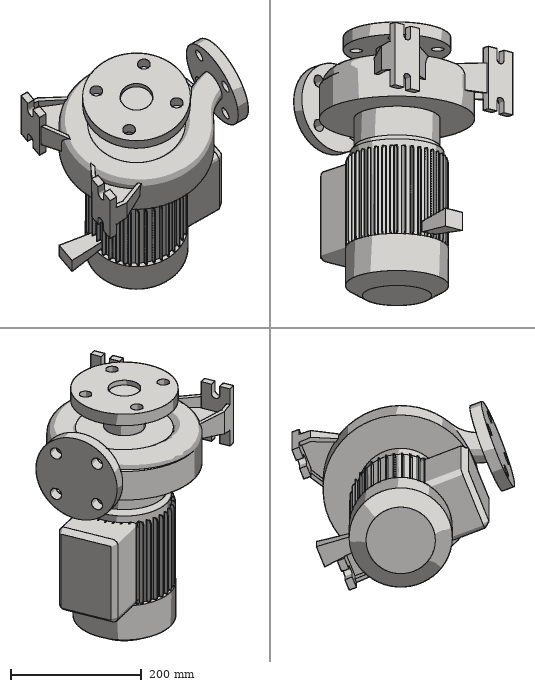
import cadquery as cq
import math


suction_face_z = 80.0
suction_flange_radius = 82.5
suction_flange_thickness = 20.0
suction_bolt_circle = 125.0
suction_pipe_radius = 32.0
suction_bore_radius = 25.0
suction_bore_depth = 8.5
bolt_hole_diameter = 19.0
bolt_count = 4
bolt_start_angle = 45.0

discharge_face_y = 160.0
discharge_flange_radius = 70.0
discharge_flange_thickness = 19.0
discharge_bolt_circle = 100.0

volute_tube_radius = 23.5
volute_ring_radius = 95.5
casing_radius = volute_ring_radius + volute_tube_radius
casing_bottom_z = -50.0
cover_radius = 75.0
cover_edge_z = math.sqrt(volute_tube_radius**2 - (volute_ring_radius - cover_radius) ** 2)
cover_rise = 3.0
cover_hub_z = cover_edge_z + cover_rise
spiral_start_angle = 180.0
spiral_section_count = 5
spiral_outer_shrink = 11.0

bend_radius = (discharge_face_y**2 - volute_ring_radius**2) / (2 * volute_ring_radius)
bend_angle = math.degrees(math.atan2(discharge_face_y, bend_radius))

lantern_radius = 66.0
lantern_bottom_z = -96.0
motor_core_radius = 72.0
motor_core_top_z = -104.0
fin_top_z = -115.0
cowl_top_z = -257.5
cowl_radius = 79.0
cowl_shoulder_z = -317.0
motor_end_radius = 53.0
motor_end_z = -333.0
fin_count = 40
fin_thickness = 1.5
fin_inner_end = 49.0
fin_tip_radius = 78.5
fin_bevel_width = 1.5
fin_bevel_height = 5.0

box_width = 101.5
box_inner_y = 40.0
box_outer_y = 128.5
box_top_z = -115.5
box_bottom_z = -260.0
box_fillet = 10.0
box_bevel_depth = 9.5
box_bevel_width = 7.5

foot_outer_x = 120.0
foot_width = 50.0
foot_height = 100.0
foot_thickness = 12.0
foot_face_y = -132.0
foot_back_y = foot_face_y + foot_thickness
slot_width = 14.0
slot_depth = 23.0
web_thickness = 6.0
web_bend_y = -101.0
outer_web_end = (96.5, -54.0)
inner_web_start = (75.0, -132.0)
inner_web_angle = 150.0
inner_web_length = 68.0
web_half_height_at_face = 24.5
web_taper = 0.16
gusset_thickness = 8.0

support_top_y = -70.0
support_mid_z = -241.0
support_end_width = 35.0
support_end_height = 29.0
support_root_width = 22.0
support_root_height = 17.0


def polar(radius, angle):
    """X and Y of a point at the given radius and angle in degrees."""
    return radius * math.cos(math.radians(angle)), radius * math.sin(math.radians(angle))


def turned(profile):
    """Solid turned about the shaft axis from (radius, z) points."""
    return cq.Workplane("XZ").polyline(profile).close().revolve(360, (0, 0, 0), (0, 1, 0))


def ring_section(angle, outer_radius):
    """Circle of the volute tube that reaches outer_radius and passes through the cover edge."""
    span = outer_radius - cover_radius
    tube_radius = (span**2 + cover_edge_z**2) / (2 * span)
    x, y = polar(outer_radius - tube_radius, angle)
    tangent_x, tangent_y = polar(1.0, angle + 90)
    return cq.Wire.makeCircle(tube_radius, cq.Vector(x, y, 0), cq.Vector(tangent_x, tangent_y, 0))


def make_body():
    """Casing drum, cover, suction pipe, lantern and motor, all turned about the shaft axis."""
    profile = [
        (0, suction_face_z),
        (suction_flange_radius, suction_face_z),
        (suction_flange_radius, suction_face_z - suction_flange_thickness),
        (suction_pipe_radius, suction_face_z - suction_flange_thickness),
        (suction_pipe_radius, cover_hub_z),
        (cover_radius, cover_edge_z),
        (cover_radius, 0),
        (casing_radius, 0),
        (casing_radius, casing_bottom_z),
        (lantern_radius, casing_bottom_z),
        (lantern_radius, lantern_bottom_z),
        (motor_core_radius, motor_core_top_z),
        (motor_core_radius, cowl_top_z),
        (cowl_radius, cowl_top_z),
        (cowl_radius, cowl_shoulder_z),
        (motor_end_radius, motor_end_z),
        (0, motor_end_z),
    ]
    return turned(profile)


def make_volute():
    """Tube ring of constant section that continues into the discharge bend."""
    sweep_angle = 360 - spiral_start_angle + bend_angle
    ring = (
        cq.Workplane("XZ")
        .center(volute_ring_radius, 0)
        .circle(volute_tube_radius)
        .revolve(sweep_angle, (-volute_ring_radius, 0, 0), (-volute_ring_radius, 1, 0))
        .rotate((0, 0, 0), (0, 0, 1), spiral_start_angle)
    )
    bend = (
        cq.Workplane("XZ", origin=(0, discharge_face_y, 0))
        .circle(volute_tube_radius)
        .revolve(bend_angle, (bend_radius, 0, 0), (bend_radius, 1, 0))
    )
    return ring.union(bend)


def make_spiral():
    """Tapering start of the volute, from the discharge bend round to the constant ring."""
    sections = []
    for index in range(spiral_section_count):
        share = index / (spiral_section_count - 1)
        angle = spiral_start_angle + share * (bend_angle - spiral_start_angle)
        sections.append(ring_section(angle, casing_radius - share * spiral_outer_shrink))
    return cq.Workplane(cq.Solid.makeLoft(sections))


def make_discharge_flange():
    face = cq.Workplane("XZ", origin=(0, discharge_face_y, 0))
    bolts = (
        face.polarArray(discharge_bolt_circle / 2, bolt_start_angle, 360, bolt_count)
        .circle(bolt_hole_diameter / 2)
        .extrude(discharge_flange_thickness)
    )
    return face.circle(discharge_flange_radius).extrude(discharge_flange_thickness).cut(bolts)


def make_suction_holes():
    """Bolt holes through the suction flange and the recess in its face."""
    bolts = (
        cq.Workplane("XY", origin=(0, 0, suction_face_z))
        .polarArray(suction_bolt_circle / 2, bolt_start_angle, 360, bolt_count)
        .circle(bolt_hole_diameter / 2)
        .extrude(-suction_flange_thickness)
    )
    bore = (
        cq.Workplane("XY", origin=(0, 0, suction_face_z))
        .circle(suction_bore_radius)
        .extrude(-suction_bore_depth)
    )
    return bolts.union(bore)


def make_fins():
    """Cooling fins in four groups, parallel within each group and bevelled at both ends."""
    fin_length = fin_top_z - cowl_top_z
    pitch_angle = 360 / fin_count
    fins_per_side = fin_count // 4
    offsets = []
    for index in range(fins_per_side):
        angle = pitch_angle * (index - (fins_per_side - 1) / 2)
        offsets.append(cowl_radius * math.sin(math.radians(angle)))
    bevel_radius = fin_tip_radius - fin_bevel_width
    envelope_profile = [
        (0, cowl_top_z),
        (bevel_radius, cowl_top_z),
        (fin_tip_radius, cowl_top_z + fin_bevel_height),
        (fin_tip_radius, fin_top_z - fin_bevel_height),
        (bevel_radius, fin_top_z),
        (0, fin_top_z),
    ]
    envelope = turned(envelope_profile)
    group = (
        cq.Workplane("XY", origin=(0, 0, cowl_top_z))
        .pushPoints([((fin_inner_end + cowl_radius) / 2, offset) for offset in offsets])
        .rect(cowl_radius - fin_inner_end, fin_thickness)
        .extrude(fin_length)
        .intersect(envelope)
    )
    fins = group
    for turn in (90, 180, 270):
        fins = fins.union(group.rotate((0, 0, 0), (0, 0, 1), turn))
    return fins


def make_terminal_box():
    """Box on the +Y side with rounded long edges and a bevel all round its outer face."""
    bevel_start_y = box_outer_y - box_bevel_depth
    height = box_top_z - box_bottom_z
    block = (
        cq.Workplane("ZX", origin=(0, box_inner_y, (box_top_z + box_bottom_z) / 2))
        .rect(height, box_width)
        .extrude(bevel_start_y - box_inner_y)
        .edges("|Y")
        .fillet(box_fillet)
    )
    bevel_angle = math.degrees(math.atan2(box_bevel_width, box_bevel_depth))
    return block.faces(">Y").wires().toPending().extrude(box_bevel_depth, taper=bevel_angle)


def make_motor_support():
    """Flared block under the motor, widest at its free end."""
    return (
        cq.Workplane("XZ", origin=(0, foot_face_y, support_mid_z))
        .rect(support_end_width, support_end_height)
        .workplane(offset=foot_face_y - support_top_y)
        .rect(support_root_width, support_root_height)
        .loft()
    )


def make_foot():
    """Slotted foot plate on the +X side with two webs and a gusset reaching the casing."""
    mid_x = foot_outer_x - foot_width / 2
    plate = cq.Workplane("XY").box(foot_width, foot_thickness, foot_height)
    plate = plate.translate((mid_x, foot_face_y + foot_thickness / 2, 0))
    slot_length = 2 * slot_depth
    for end_z in (-foot_height / 2, foot_height / 2):
        slot = (
            cq.Workplane("XZ", origin=(mid_x, foot_back_y, end_z))
            .slot2D(slot_length, slot_width, 90)
            .extrude(foot_thickness)
        )
        plate = plate.cut(slot)

    end_x, end_y = outer_web_end
    outer_web = (
        cq.Workplane("XY")
        .moveTo(foot_outer_x, foot_face_y)
        .lineTo(foot_outer_x, web_bend_y)
        .lineTo(end_x, end_y)
        .lineTo(end_x - web_thickness, end_y)
        .lineTo(foot_outer_x - web_thickness, web_bend_y - web_thickness / 2)
        .lineTo(foot_outer_x - web_thickness, foot_face_y)
        .close()
        .extrude(foot_height / 2, both=True)
    )
    start_x, start_y = inner_web_start
    run_x, run_y = polar(inner_web_length, inner_web_angle)
    rise = web_thickness / abs(math.cos(math.radians(inner_web_angle)))
    inner_web = (
        cq.Workplane("XY")
        .moveTo(start_x, start_y)
        .lineTo(start_x + run_x, start_y + run_y)
        .lineTo(start_x + run_x, start_y + run_y + rise)
        .lineTo(start_x, start_y + rise)
        .close()
        .extrude(foot_height / 2, both=True)
    )
    gusset = (
        cq.Workplane("XY")
        .moveTo(foot_outer_x, foot_back_y)
        .lineTo(foot_outer_x, web_bend_y)
        .lineTo(end_x, end_y)
        .lineTo(start_x + run_x, start_y + run_y + rise)
        .lineTo(start_x, start_y + rise)
        .lineTo(start_x, foot_back_y)
        .close()
        .extrude(gusset_thickness / 2, both=True)
    )
    casing_half_height = web_half_height_at_face + web_taper * foot_face_y
    taper_envelope = (
        cq.Workplane("YZ")
        .polyline(
            [
                (foot_face_y, -web_half_height_at_face),
                (foot_face_y, web_half_height_at_face),
                (0, casing_half_height),
                (0, -casing_half_height),
            ]
        )
        .close()
        .extrude(foot_outer_x)
    )
    return plate.union(outer_web.union(inner_web).union(gusset).intersect(taper_envelope))


foot = make_foot()
result = make_body().union(make_fins())
result = result.union(make_volute()).union(make_spiral())
result = result.union(make_discharge_flange())
result = result.union(make_terminal_box())
result = result.union(make_motor_support())
result = result.union(foot).union(foot.mirror("YZ"))
result = result.cut(make_suction_holes())